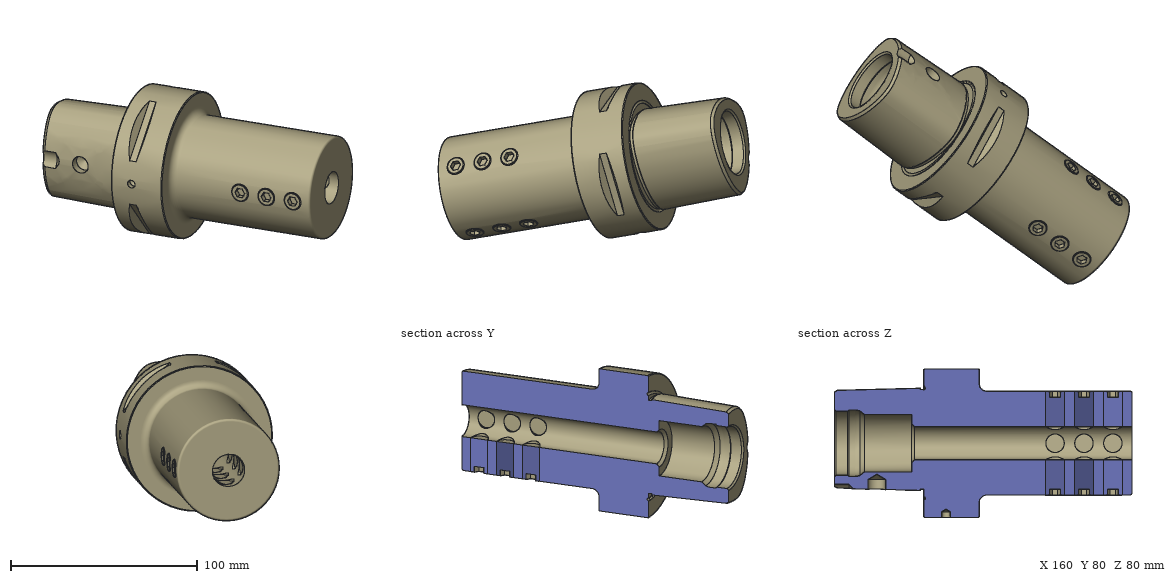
import cadquery as cq
import math

total_length = 160.0
taper_length = 48.0
flange_length = 30.0
flange_radius = 40.0
flange_end = taper_length + flange_length
flange_chamfer = 0.5
shank_radius = 28.0
shank_fillet = 4.0
shank_end_round = 1.3

shank_overlap = 1.6
cut_margin = 1.6

taper_mean_radius = 27.5
taper_lobe_height = 2.0
taper_slope = 0.025
lobe_half_angle = 27.0
lobe_count = 3
spline_steps = 8
neck_length = 1.8
taper_chamfer_length = 1.6
taper_chamfer_depth = 1.0
neck_inset = 0.6

face_groove_radius = 29.6
face_groove_half_width = 0.8

entry_radius = 17.1
entry_chamfer = 1.0
entry_depth = 7.2
clamp_groove_radius = 17.8
clamp_groove_start = 7.8
clamp_groove_floor_end = 11.2
bore_cone_start = 13.8
bore_cone_radius = 17.3
inner_bore_start = 16.2
inner_bore_radius = 15.4
inner_bore_depth = 41.6
through_radius = 8.8
through_chamfer = 1.6

drill_point_angle = 118.0
key_radius = 6.0
key_axis_offset = 28.2
key_point_angle = 90.0
key_length = 7.8
taper_hole_x = 22.9
taper_hole_radius = 4.6
taper_hole_floor = 19.5

slot_x = 60.0
slot_floor_offset = 35.7
slot_floor_width = 3.8
slot_flank_angle = 30.0
slot_count = 4
locating_hole_radius = 2.16
locating_hole_floor = 36.8

screw_radius = 5.0
screw_chamfer = 0.5
screw_top = shank_radius
screw_first_x = 118.5
screw_pitch = 15.5
screws_per_row = 3
hex_across_flats = 5.0
hex_depth = 3.2
row_angles = (0, 90, 180)


def polygon_wire(x, mean_radius):
    """Three-lobed polygon curve across X, with one lobe toward +Y."""
    pitch = 360.0 / lobe_count

    def point_at(degrees):
        """Point where the outline's normal has this angle, from its distance to the tangent line."""
        angle = math.radians(degrees)
        reach = mean_radius + taper_lobe_height * math.cos(lobe_count * angle)
        swing = -lobe_count * taper_lobe_height * math.sin(lobe_count * angle)
        y = reach * math.cos(angle) - swing * math.sin(angle)
        z = reach * math.sin(angle) + swing * math.cos(angle)
        return cq.Vector(x, y, z)

    def tangent_at(degrees):
        angle = math.radians(degrees)
        return cq.Vector(0, -math.sin(angle), math.cos(angle))

    def stretch(start, end):
        step = (end - start) / spline_steps
        points = [point_at(start + i * step) for i in range(spline_steps + 1)]
        return cq.Edge.makeSpline(points, [tangent_at(start), tangent_at(end)])

    edges = []
    for lobe in range(lobe_count):
        middle = lobe * pitch
        edges.append(stretch(middle - lobe_half_angle, middle + lobe_half_angle))
        edges.append(stretch(middle + lobe_half_angle, middle + pitch - lobe_half_angle))
    return cq.Wire.assembleEdges(edges)


def polygon_solid(x_start, radius_start, x_end, radius_end):
    """Straight-sided solid between two polygon outlines."""
    wires = [polygon_wire(x_start, radius_start), polygon_wire(x_end, radius_end)]
    return cq.Workplane(cq.Solid.makeLoft(wires, True))


def drill(radius, length, point_angle):
    """Drill shape along +X, with its cylinder ending at X = length and its cone point beyond."""
    point = radius / math.tan(math.radians(point_angle / 2))
    outline = cq.Workplane("XY").polyline([(0, 0), (0, radius), (length, radius), (length + point, 0)])
    return outline.close().revolve(360, (0, 0, 0), (1, 0, 0))


def radial_drill(x, radius, floor):
    """Drill entering from the -Y side toward the axis; floor is where its cylinder ends."""
    reach = flange_radius + cut_margin
    bit = drill(radius, reach - floor, drill_point_angle)
    return bit.rotate((0, 0, 0), (0, 0, 1), 90).translate((x, -reach, 0))


def make_taper():
    neck_start = taper_length - neck_length
    start_radius = taper_mean_radius - taper_slope * neck_start
    neck_radius = taper_mean_radius - neck_inset
    chamfer_radius = start_radius + taper_slope * taper_chamfer_length
    chamfer = polygon_solid(0, start_radius - taper_chamfer_depth, taper_chamfer_length, chamfer_radius)
    cone = polygon_solid(taper_chamfer_length, chamfer_radius, neck_start, taper_mean_radius)
    neck = polygon_solid(neck_start, neck_radius, taper_length, neck_radius)
    return chamfer.union(cone).union(neck)


def make_flange_and_shank():
    flange = cq.Workplane("YZ").workplane(offset=taper_length).circle(flange_radius).extrude(flange_length)
    flange = flange.edges().chamfer(flange_chamfer)
    groove = cq.Solid.makeTorus(
        face_groove_radius, face_groove_half_width, cq.Vector(taper_length, 0, 0), cq.Vector(1, 0, 0)
    )
    flange = flange.cut(cq.Workplane(groove))
    corner = shank_radius + shank_fillet
    arc_step = shank_fillet * (1 - math.sqrt(0.5))
    shank = (
        cq.Workplane("XY")
        .moveTo(flange_end - shank_overlap, 0)
        .lineTo(flange_end - shank_overlap, corner)
        .lineTo(flange_end, corner)
        .threePointArc(
            (flange_end + arc_step, shank_radius + arc_step), (flange_end + shank_fillet, shank_radius)
        )
        .lineTo(total_length, shank_radius)
        .lineTo(total_length, 0)
        .close()
        .revolve(360, (0, 0, 0), (1, 0, 0))
    )
    shank = shank.faces(">X").edges().fillet(shank_end_round)
    return flange.union(shank)


def make_bore():
    outline = (
        cq.Workplane("XY")
        .lineTo(0, entry_radius + entry_chamfer)
        .lineTo(entry_chamfer, entry_radius)
        .lineTo(entry_depth, entry_radius)
        .lineTo(clamp_groove_start, clamp_groove_radius)
        .lineTo(clamp_groove_floor_end, clamp_groove_radius)
        .tangentArcPoint((bore_cone_start, bore_cone_radius), relative=False)
        .lineTo(inner_bore_start, inner_bore_radius)
        .lineTo(inner_bore_depth, inner_bore_radius)
        .lineTo(inner_bore_depth, through_radius + through_chamfer)
        .lineTo(inner_bore_depth + through_chamfer, through_radius)
        .lineTo(total_length, through_radius)
        .lineTo(total_length, 0)
        .close()
    )
    return outline.revolve(360, (0, 0, 0), (1, 0, 0))


def gripper_slot():
    """Straight slot along Y in the +Z side of the rim, with a flat floor and sloping flanks."""
    height = flange_radius - slot_floor_offset + cut_margin
    half_floor = slot_floor_width / 2
    half_top = half_floor + height * math.tan(math.radians(slot_flank_angle))
    outline = [(-half_floor, 0), (half_floor, 0), (half_top, height), (-half_top, height)]
    slot = cq.Workplane("XZ").polyline(outline).close().extrude(flange_radius, both=True)
    return slot.translate((slot_x, 0, slot_floor_offset))


def screw_places():
    """X position and row angle of every set screw."""
    return [(screw_first_x + i * screw_pitch, angle) for angle in row_angles for i in range(screws_per_row)]


def place_screw(shape, x, angle):
    """Move a shape built along -Y to its X position and turn it about the axis to its row."""
    return shape.translate((x, 0, 0)).rotate((0, 0, 0), (1, 0, 0), angle)


def screw_blank():
    """Solid screw shape pointing out along -Y, with its tip tangent to the through bore."""
    length = screw_top - through_radius
    blank = cq.Workplane("XZ").workplane(offset=through_radius).circle(screw_radius).extrude(length)
    return blank.faces("<Y").edges().chamfer(screw_chamfer)


def make_screw_hole():
    """Hole that fits the screw, chamfer included, and runs on into the through bore."""
    breakthrough = cq.Workplane("XZ").circle(screw_radius).extrude(2 * through_radius)
    return screw_blank().union(breakthrough)


def make_set_screw():
    """Set screw with a hexagon socket in its outer end."""
    hex_diameter = hex_across_flats / math.cos(math.pi / 6)
    socket = cq.Workplane("XZ").workplane(offset=screw_top - hex_depth)
    return screw_blank().cut(socket.polygon(6, hex_diameter).extrude(hex_depth))


def make_holder():
    holder = make_taper().union(make_flange_and_shank()).cut(make_bore())
    key_slot = drill(key_radius, key_length, key_point_angle).translate((0, -key_axis_offset, 0))
    holder = holder.cut(key_slot)
    holder = holder.cut(radial_drill(taper_hole_x, taper_hole_radius, taper_hole_floor))
    holder = holder.cut(radial_drill(slot_x, locating_hole_radius, locating_hole_floor))
    for i in range(slot_count):
        angle = 360.0 / slot_count * (i + 0.5)
        holder = holder.cut(gripper_slot().rotate((0, 0, 0), (1, 0, 0), angle))
    screw_hole = make_screw_hole()
    for x, angle in screw_places():
        holder = holder.cut(place_screw(screw_hole, x, angle))
    return holder


holder = make_holder()
set_screw = make_set_screw()
set_screws = [place_screw(set_screw, x, angle) for x, angle in screw_places()]

result = cq.Compound.makeCompound([holder.val(), *[screw.val() for screw in set_screws]])